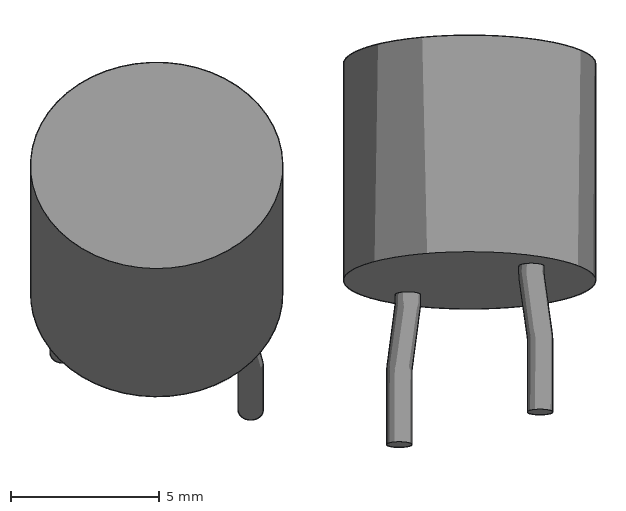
import cadquery as cq
import math

body_diameter = 8.51
body_height = 7.5

lead_diameter = 0.86
lead_length = 5.12
exit_pitch = 5.94
tip_pitch = 6.76
exit_straight = 0.27
bend_radius = lead_diameter
bend_angle = math.radians(10.7)

outward_shift = (tip_pitch - exit_pitch) / 2
bend_shift = bend_radius * (1 - math.cos(bend_angle))
bend_drop = bend_radius * math.sin(bend_angle)
slant_shift = outward_shift - 2 * bend_shift
slant_drop = slant_shift / math.tan(bend_angle)


def make_body():
    return cq.Workplane("XY").circle(body_diameter / 2).extrude(body_height)


def make_lead(side):
    """Lead on the +X (side = 1) or -X (side = -1) half of the body."""
    exit_x = exit_pitch / 2
    slant_top = (exit_x + bend_shift, -exit_straight - bend_drop)
    slant_bottom = (slant_top[0] + slant_shift, slant_top[1] - slant_drop)
    tip_x = tip_pitch / 2

    def place(point):
        return (side * point[0], point[1])

    path = (
        cq.Workplane("XZ")
        .moveTo(*place((exit_x, 0)))
        .lineTo(*place((exit_x, -exit_straight)))
        .tangentArcPoint(place(slant_top), relative=False)
        .lineTo(*place(slant_bottom))
        .tangentArcPoint(place((tip_x, slant_bottom[1] - bend_drop)), relative=False)
        .lineTo(*place((tip_x, -lead_length)))
    )
    section = cq.Workplane("XY").center(side * exit_x, 0).circle(lead_diameter / 2)
    return section.sweep(path)


result = make_body()
for side in (-1, 1):
    result = result.union(make_lead(side))